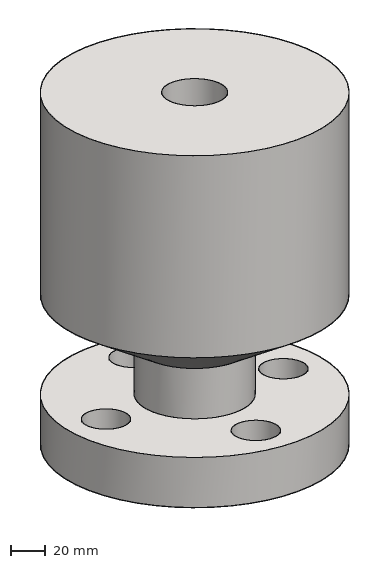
import cadquery as cq

total_height = 222.2
body_diameter = 177.8
neck_diameter = 69.8
bore_diameter = 38.0

flange_thickness = 31.8
cone_bottom = 63.5
cone_top = 94.7

bolt_hole_diameter = 28.5
bolt_circle_diameter = 124.0
bolt_hole_count = 4
first_hole_angle = 0.0


def turned_body():
    """Flange, neck, cone and cylinder revolved about the Z axis as one profile."""
    body_radius = body_diameter / 2
    neck_radius = neck_diameter / 2
    profile = (
        cq.Workplane("XZ")
        .moveTo(0, 0)
        .lineTo(body_radius, 0)
        .lineTo(body_radius, flange_thickness)
        .lineTo(neck_radius, flange_thickness)
        .lineTo(neck_radius, cone_bottom)
        .lineTo(body_radius, cone_top)
        .lineTo(body_radius, total_height)
        .lineTo(0, total_height)
        .close()
    )
    return profile.revolve(360, (0, 0, 0), (0, 1, 0))


def central_bore():
    """Straight bore through the full height."""
    return cq.Workplane("XY").circle(bore_diameter / 2).extrude(total_height)


def bolt_holes():
    """Ring of plain holes through the flange only."""
    return (
        cq.Workplane("XY")
        .polarArray(bolt_circle_diameter / 2, first_hole_angle, 360, bolt_hole_count)
        .circle(bolt_hole_diameter / 2)
        .extrude(flange_thickness)
    )


result = turned_body().cut(central_bore()).cut(bolt_holes())